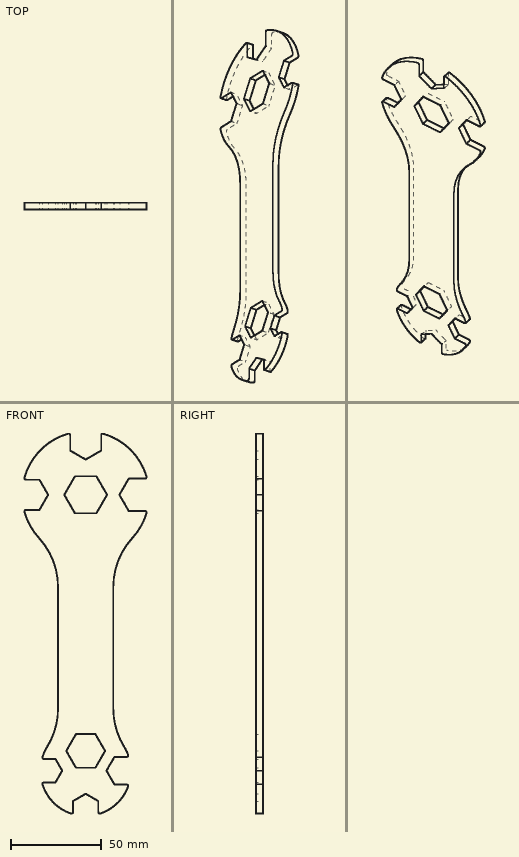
import cadquery as cq
import math

length = 209.0
thickness = 4.0
handle_half_width = 15.3
neck_radius = 40.0
mouth_fillet = 1.0

large_diameter = 70.0
large_radius = large_diameter / 2
large_slots = [(0, 17.8, 18.5), (90, 17.0, 19.5), (180, 16.5, 20.7)]
large_hex_flats = 20.3

small_diameter = 50.0
small_radius = small_diameter / 2
small_slots = [(0, 15.0, 11.5), (180, 12.7, 13.0), (270, 13.8, 12.7)]
small_hex_flats = 18.4
small_hex_offset = 10.9


def mouth_distance(head_radius, slot_width):
    """Distance from head centre, along a slot, to the outermost point of its rounded rim corners."""
    fillet_offset = slot_width / 2 + mouth_fillet
    return math.sqrt((head_radius - mouth_fillet) ** 2 - fillet_offset**2) + mouth_fillet


large_end_width = large_slots[1][1]
small_end_width = small_slots[2][1]
large_z = length / 2 - mouth_distance(large_radius, large_end_width)
small_z = -length / 2 + mouth_distance(small_radius, small_end_width)


def extrude_profile(profile):
    """Extrude an XZ profile evenly about the Y = 0 plane."""
    return profile.extrude(thickness / 2, both=True)


def neck_points(head_radius, head_z, toward_handle):
    """Blend end on the handle, arc midpoint and blend end on the head, on the +X side."""
    center_x = handle_half_width + neck_radius
    reach = head_radius + neck_radius
    drop = math.sqrt(reach**2 - center_x**2)
    center_z = head_z + toward_handle * drop
    sweep = math.atan2(drop, center_x)

    def on_arc(angle):
        x = center_x - neck_radius * math.cos(angle)
        z = center_z - toward_handle * neck_radius * math.sin(angle)
        return (x, z)

    return on_arc(0), on_arc(sweep / 2), on_arc(sweep)


def mirrored(point):
    return (-point[0], point[1])


def handle():
    """Straight handle with necks that flare out tangent to both heads."""
    top_start, top_mid, top_end = neck_points(large_radius, large_z, -1)
    low_start, low_mid, low_end = neck_points(small_radius, small_z, 1)
    profile = (
        cq.Workplane("XZ")
        .moveTo(*low_end)
        .threePointArc(low_mid, low_start)
        .lineTo(*top_start)
        .threePointArc(top_mid, top_end)
        .lineTo(*mirrored(top_end))
        .threePointArc(mirrored(top_mid), mirrored(top_start))
        .lineTo(*mirrored(low_start))
        .threePointArc(mirrored(low_mid), mirrored(low_end))
        .close()
    )
    return extrude_profile(profile)


def slot(direction, width, point_distance, head_radius, head_z):
    """Open-ended wrench slot whose inner end is the point of a hexagon."""
    half = width / 2
    shoulder = point_distance + half * math.tan(math.radians(30))
    outside = head_radius + half
    outline = [(point_distance, 0), (shoulder, half), (outside, half), (outside, -half), (shoulder, -half)]
    cutter = extrude_profile(cq.Workplane("XZ").polyline(outline).close())
    return cutter.rotate((0, 0, 0), (0, 1, 0), -direction).translate((0, 0, head_z))


def head(radius, z, slots):
    """Round head with open slots whose rim corners are rounded."""
    body = extrude_profile(cq.Workplane("XZ").center(0, z).circle(radius))
    for direction, width, point_distance in slots:
        body = body.cut(slot(direction, width, point_distance, radius, z))

    def on_rim(edge):
        center = edge.Center()
        return math.isclose(math.hypot(center.x, center.z - z), radius, abs_tol=0.0002)

    rim_corners = [edge for edge in body.edges("|Y").vals() if on_rim(edge)]
    return body.newObject(rim_corners).fillet(mouth_fillet)


def hex_hole(flats, z):
    corner_diameter = flats / math.cos(math.radians(30))
    return extrude_profile(cq.Workplane("XZ").center(0, z).polygon(6, corner_diameter))


result = (
    handle()
    .union(head(large_radius, large_z, large_slots))
    .union(head(small_radius, small_z, small_slots))
    .cut(hex_hole(large_hex_flats, large_z))
    .cut(hex_hole(small_hex_flats, small_z + small_hex_offset))
)